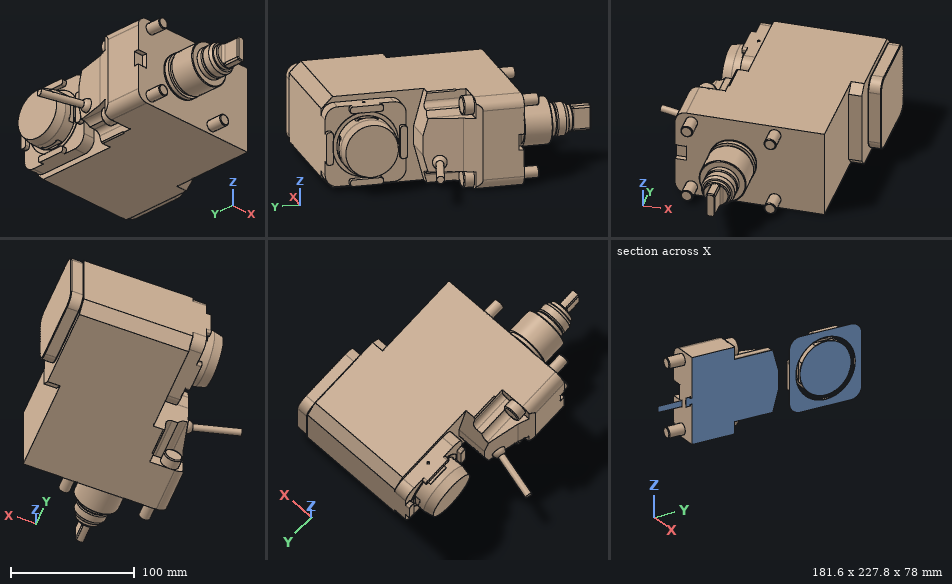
import cadquery as cq
import math


half_height = 39.0
left_x = -49.0
right_x = 76.5
shoulder_y = 73.0
step_x = -7.7
block_right_x = 87.5
back_y = 159.0
corner_radius = 9.5
back_chamfer = 9.5
block_front_chamfer = 7.5

flank_end_y = 81.3
flank_top_x = -35.3
flank_kink = (-43.0, 49.5)
flank_bottom_y = 34.6
ridge_half_height = 8.2

notch_size = (9.5, 4.5, 13.2)

screw_x = 34.97
screw_z = 31.0
screw_diameter = 10.0
screw_length = 15.0
screw_chamfer = 0.7
head_diameter = 16.0
head_height = 8.9
head_chamfer = 1.0

pocket_floor_y = 40.0
channel_radius = 8.2
ledge_z = 26.9
pocket_wall_x = -17.8
ledge_radius = 4.8
lip_width = 1.4
lip_depth = 1.0
lip_start_y = 48.5

flange_side = 67.9
flange_radius = 10.3
axis_y = back_y - flange_side / 2
left_flange_x = -19.5
right_flange_end_x = 98.6
flange_edge_chamfer = 0.7
marker_hole_x = -13.7
marker_hole_diameter = 2.1
marker_hole_depth = 2.3

pad_length = 27.8
pad_width = 5.7
pad_height = 4.0
pad_radius = 2.0

cap_diameter = 48.0
cap_end_diameter = 44.2
cap_end_x = -39.0
cap_taper_x = -30.5
cap_flat_distance = 22.0
cap_flat_end_x = -24.8
recess_diameter = 55.1
recess_depth = 0.5

collar_diameter = 39.9
sleeve_diameter = 39.5
ring_groove_diameter = 35.0
neck_diameter = 28.0
neck_groove_diameter = 26.7
neck_end_diameter = 25.0
tang_diameter = 22.0
edge_break = 0.7
collar_start_y = -1.4
collar_end_y = -5.5
sleeve_start_y = -9.0
sleeve_end_y = -32.3
neck_groove_y = -37.8
neck_groove_half_width = 1.1
neck_taper_y = -45.3
neck_end_y = -48.0
shoulder_end_y = -52.2
shoulder_chamfer = 1.0
tang_end_y = back_y - 227.8
tang_thickness = 7.7
tang_root_radius = 2.0
tang_side_chamfer = (1.1, 2.3)
tang_end_chamfer = 1.0

cable_diameter = 6.4
cable_angle = 15
boot_radius = 6.0
boot_centre = (-38.5, 68.0, -14.5)
cable_end_x = -83.0


def box(x0, x1, y0, y1, z0, z1):
    return cq.Workplane("XY").box(x1 - x0, y1 - y0, z1 - z0, centered=False).translate((x0, y0, z0))


def cylinder_y(x, z, diameter, y_start, length):
    """Cylinder that starts at y_start and runs toward -Y."""
    return cq.Workplane("XZ", origin=(x, y_start, z)).circle(diameter / 2).extrude(length)


def both_sides(shape):
    return shape.union(shape.mirror("XY"))


def make_housing():
    lower = box(left_x, right_x, 0, flank_end_y, -half_height, half_height)
    lower = lower.edges("|Y and <X").fillet(corner_radius)
    lower = lower.cut(box(step_x, right_x, shoulder_y, flank_end_y, -half_height, half_height))
    flank_cut = (
        cq.Workplane("XY")
        .moveTo(left_x, flank_bottom_y)
        .lineTo(*flank_kink)
        .lineTo(flank_top_x, flank_end_y)
        .lineTo(left_x, flank_end_y)
        .close()
        .extrude(half_height, both=True)
    )
    end_slope = (
        cq.Workplane("YZ", origin=(left_x, 0, 0))
        .moveTo(flank_end_y, ridge_half_height)
        .lineTo(flank_end_y, half_height)
        .lineTo(shoulder_y, half_height)
        .close()
        .extrude(step_x - left_x)
    )
    lower = lower.cut(flank_cut).cut(both_sides(end_slope))

    block = box(step_x, block_right_x, shoulder_y, back_y, -half_height, half_height)
    block = block.edges("|X and >Y").chamfer(back_chamfer)
    block = block.edges("|X and <Y").chamfer(block_front_chamfer)
    root = box(step_x, right_x, shoulder_y, shoulder_y + block_front_chamfer, -half_height, half_height)

    dx, dy, dz = notch_size
    notch = box(left_x, left_x + dx, 0, dy, -dz / 2, dz / 2)
    return lower.union(block).union(root).cut(notch)


def make_screw_pockets():
    channel_edge_x = -screw_x + math.sqrt(channel_radius**2 - (screw_z - ledge_z) ** 2)
    half_angle = (math.pi / 2 - math.asin((screw_z - ledge_z) / channel_radius)) / 2
    channel_mid = (
        -screw_x + channel_radius * math.sin(half_angle),
        screw_z - channel_radius * math.cos(half_angle),
    )
    ledge_mid = (
        pocket_wall_x - ledge_radius * (1 - math.sin(math.pi / 4)),
        ledge_z + ledge_radius * (1 - math.cos(math.pi / 4)),
    )
    length = flank_end_y - pocket_floor_y
    pocket = (
        cq.Workplane("XZ", origin=(0, flank_end_y, 0))
        .moveTo(left_x, half_height)
        .lineTo(left_x, screw_z - channel_radius)
        .lineTo(-screw_x, screw_z - channel_radius)
        .threePointArc(channel_mid, (channel_edge_x, ledge_z))
        .lineTo(pocket_wall_x - ledge_radius, ledge_z)
        .threePointArc(ledge_mid, (pocket_wall_x, ledge_z + ledge_radius))
        .lineTo(pocket_wall_x, half_height)
        .close()
        .extrude(length)
    )
    lip = (
        cq.Workplane("XZ", origin=(0, flank_end_y, 0))
        .moveTo(pocket_wall_x, half_height)
        .lineTo(pocket_wall_x, half_height - lip_depth)
        .lineTo(pocket_wall_x + lip_width, half_height)
        .close()
        .extrude(flank_end_y - lip_start_y)
    )
    return both_sides(pocket.union(lip))


def make_screws():
    screws = cq.Workplane("XY")
    for x in (-screw_x, screw_x):
        shank = cylinder_y(x, screw_z, screw_diameter, 0, screw_length)
        screws = screws.union(shank.faces("<Y").chamfer(screw_chamfer))
    head = cylinder_y(-screw_x, screw_z, head_diameter, pocket_floor_y + head_height, head_height)
    return both_sides(screws.union(head.faces(">Y").chamfer(head_chamfer)))


def make_flange(x0, x1):
    half = flange_side / 2
    plate = box(x0, x1, axis_y - half, axis_y + half, -half, half)
    return plate.edges("|X").fillet(flange_radius)


def make_left_flange():
    flange = make_flange(left_flange_x, step_x)
    recess = cq.Workplane("YZ", origin=(left_flange_x, axis_y, 0)).circle(recess_diameter / 2)
    marker = cq.Workplane("XY", origin=(marker_hole_x, axis_y, flange_side / 2))
    flange = flange.cut(recess.extrude(recess_depth))
    flange = flange.cut(marker.circle(marker_hole_diameter / 2).extrude(-marker_hole_depth))
    pad_centre_z = (flange_side - pad_width) / 2
    pad = (
        cq.Workplane("YZ", origin=(left_flange_x, axis_y, 0))
        .center(0, pad_centre_z)
        .rect(pad_length, pad_width)
        .extrude(-pad_height)
        .edges("|X")
        .fillet(pad_radius)
    )
    for turn in range(4):
        flange = flange.union(pad.rotate((0, axis_y, 0), (1, axis_y, 0), 90 * turn))
    return flange


def make_right_flange():
    flange = make_flange(block_right_x, right_flange_end_x)
    return flange.faces("<X or >X").chamfer(flange_edge_chamfer)


def make_cap():
    cap = (
        cq.Workplane("XY")
        .moveTo(step_x, 0)
        .lineTo(step_x, cap_diameter / 2)
        .lineTo(cap_taper_x, cap_diameter / 2)
        .lineTo(cap_end_x, cap_end_diameter / 2)
        .lineTo(cap_end_x, 0)
        .close()
        .revolve(360, (0, 0, 0), (1, 0, 0))
    )
    radius = cap_diameter / 2
    flat = box(cap_flat_end_x, left_flange_x, -radius, radius, cap_flat_distance, radius)
    for turn in range(4):
        cap = cap.cut(flat.rotate((0, 0, 0), (1, 0, 0), 90 * turn))
    return cap.translate((0, axis_y, 0))


def make_spindle():
    stations = [
        (sleeve_diameter, 0),
        (sleeve_diameter, collar_start_y),
        (collar_diameter, collar_start_y),
        (collar_diameter, collar_end_y),
        (ring_groove_diameter, collar_end_y),
        (ring_groove_diameter, sleeve_start_y),
        (sleeve_diameter, sleeve_start_y),
        (sleeve_diameter, sleeve_end_y + edge_break),
        (sleeve_diameter - 2 * edge_break, sleeve_end_y),
        (neck_diameter, sleeve_end_y),
        (neck_diameter, neck_groove_y + neck_groove_half_width),
        (neck_groove_diameter, neck_groove_y),
        (neck_diameter, neck_groove_y - neck_groove_half_width),
        (neck_diameter, neck_taper_y),
        (neck_end_diameter, neck_end_y),
        (tang_diameter, neck_end_y),
        (tang_diameter, shoulder_end_y + shoulder_chamfer),
        (tang_diameter - 2 * shoulder_chamfer, shoulder_end_y),
    ]
    profile = cq.Workplane("XY").moveTo(0, 0)
    for diameter, y in stations:
        profile = profile.lineTo(diameter / 2, y)
    body = profile.lineTo(0, shoulder_end_y).close().revolve(360, (0, 0, 0), (0, 1, 0))
    return body.union(make_tang())


def make_tang():
    half = tang_thickness / 2
    radius = tang_diameter / 2
    root_x = half + tang_root_radius
    side_x, side_z = tang_side_chamfer
    bevel = (
        cq.Workplane("XZ", origin=(0, shoulder_end_y, 0))
        .polyline([(half, radius - side_z), (half, radius), (half - side_x, radius)])
        .close()
        .extrude(shoulder_end_y - tang_end_y)
    )
    slab = box(-half, half, tang_end_y, shoulder_end_y, -radius, radius)
    slab = slab.intersect(cylinder_y(0, 0, tang_diameter, shoulder_end_y, shoulder_end_y - tang_end_y))
    bevels = both_sides(bevel)
    slab = slab.cut(bevels).cut(bevels.mirror("YZ"))
    slab = slab.faces("<Y").chamfer(tang_end_chamfer)
    root = (
        cq.Workplane("XY", origin=(0, 0, -radius))
        .moveTo(-root_x, shoulder_end_y)
        .radiusArc((-half, shoulder_end_y - tang_root_radius), tang_root_radius)
        .lineTo(half, shoulder_end_y - tang_root_radius)
        .radiusArc((root_x, shoulder_end_y), tang_root_radius)
        .close()
        .extrude(tang_diameter)
    )
    shoulder_diameter = tang_diameter - 2 * shoulder_chamfer
    root = root.intersect(cylinder_y(0, 0, shoulder_diameter, shoulder_end_y, tang_root_radius))
    return slab.union(root)


def make_cable():
    angle = math.radians(cable_angle)
    direction = cq.Vector(-math.cos(angle), math.sin(angle), 0)
    length = (boot_centre[0] - cable_end_x - cable_diameter / 2 * math.sin(angle)) / math.cos(angle)
    cable = cq.Workplane(cq.Plane(boot_centre, (0, 0, 1), direction)).circle(cable_diameter / 2).extrude(length)
    boot = cq.Workplane("XY").sphere(boot_radius).translate(boot_centre)
    return cable.union(boot)


result = (
    make_housing()
    .cut(make_screw_pockets())
    .union(make_screws())
    .union(make_left_flange())
    .union(make_right_flange())
    .union(make_cap())
    .union(make_spindle())
    .union(make_cable())
)